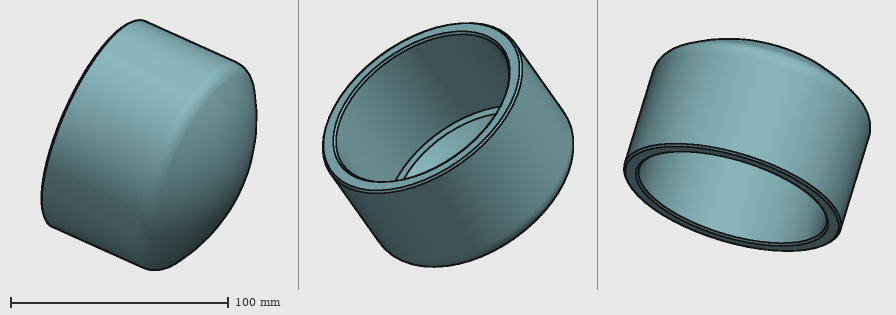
import cadquery as cq
import math

outer_diameter = 104.0
overall_length = 73.0
outer_radius = outer_diameter / 2

dome_radius = 79.0
dome_wall = 9.0
edge_radius = 9.0
recess_dome_radius = dome_radius - dome_wall
dome_center_x = overall_length - dome_radius

socket_diameter = 90.0
socket_depth = 51.0
socket_radius = socket_diameter / 2

mouth_chamfer = 1.0


def point_on_arc(center_x, center_r, radius, angle):
    """Point of a profile arc, with the angle measured from +X."""
    return (center_x + radius * math.cos(angle), center_r + radius * math.sin(angle))


def revolve_about_x(profile):
    return profile.revolve(360, (0, 0, 0), (1, 0, 0))


def make_body():
    """Solid cylinder with a spherical end, blended by a tangent edge radius."""
    edge_center_r = outer_radius - edge_radius
    center_distance = dome_radius - edge_radius
    blend_angle = math.asin(edge_center_r / center_distance)
    edge_center_x = dome_center_x + center_distance * math.cos(blend_angle)
    edge_middle_angle = (math.pi / 2 + blend_angle) / 2

    edge_middle = point_on_arc(edge_center_x, edge_center_r, edge_radius, edge_middle_angle)
    blend_point = point_on_arc(dome_center_x, 0, dome_radius, blend_angle)
    dome_middle = point_on_arc(dome_center_x, 0, dome_radius, blend_angle / 2)
    profile = (
        cq.Workplane("XY")
        .moveTo(0, 0)
        .lineTo(0, outer_radius - mouth_chamfer)
        .lineTo(mouth_chamfer, outer_radius)
        .lineTo(edge_center_x, outer_radius)
        .threePointArc(edge_middle, blend_point)
        .threePointArc(dome_middle, (overall_length, 0))
        .close()
    )
    return revolve_about_x(profile)


def make_cavity():
    """Chamfered socket ending in a flat shoulder, then a spherical recess."""
    recess_half_angle = math.acos((socket_depth - dome_center_x) / recess_dome_radius)
    recess_rim = point_on_arc(dome_center_x, 0, recess_dome_radius, recess_half_angle)
    recess_middle = point_on_arc(dome_center_x, 0, recess_dome_radius, recess_half_angle / 2)
    profile = (
        cq.Workplane("XY")
        .moveTo(0, 0)
        .lineTo(0, socket_radius + mouth_chamfer)
        .lineTo(mouth_chamfer, socket_radius)
        .lineTo(socket_depth, socket_radius)
        .lineTo(*recess_rim)
        .threePointArc(recess_middle, (overall_length - dome_wall, 0))
        .close()
    )
    return revolve_about_x(profile)


result = make_body().cut(make_cavity())